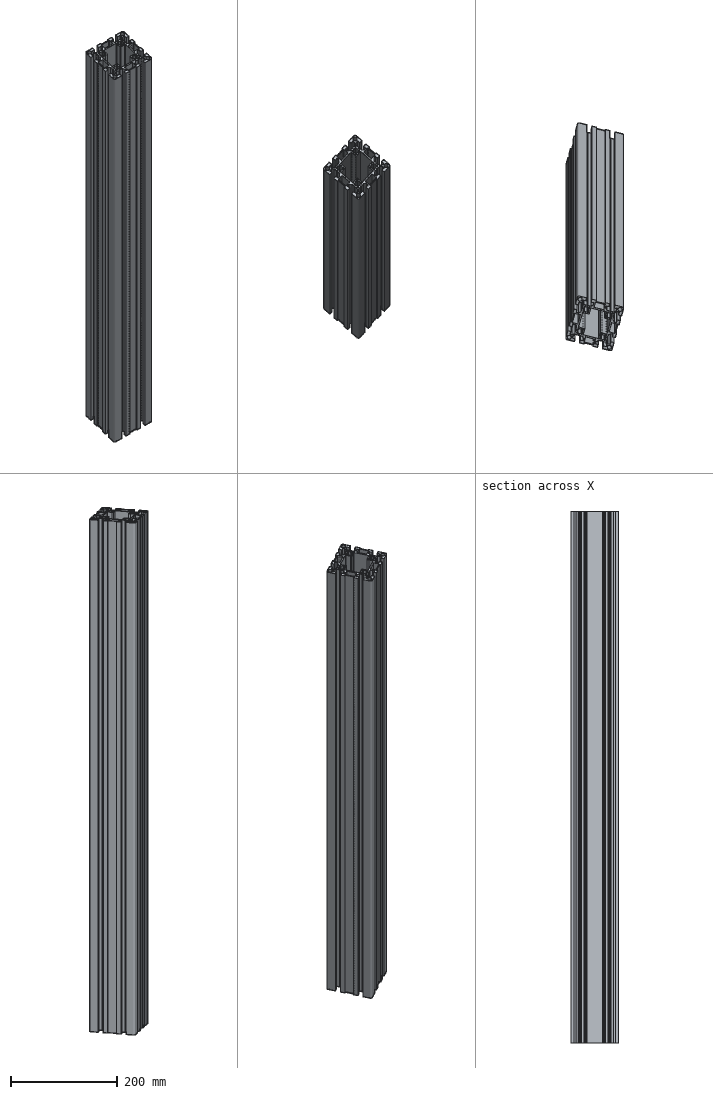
import cadquery as cq
import math

LENGTH = 1000.0
SIDE = 90.0
CORNER_RADIUS = 3.5
HALF = SIDE / 2
SLOT_OFFSET = SIDE / 4

OPENING_WIDTH = 10.0
LIP_THICKNESS = 6.0
SLOT_WIDTH = 21.0
SLOT_SHOULDER_DEPTH = 10.0
SLOT_FLOOR_WIDTH = 14.0
SLOT_DEPTH = 14.0
GROOVE_WIDTH = 2.4
GROOVE_DEPTH = 1.5

RECESS_WIDTH = 17.0
RECESS_DEPTH = 2.2

CROSS_LENGTH = 55.0
CROSS_ARM_WIDTH = 30.0

CHAMBER_WIDTH = 19.0
CHAMBER_OUTER_WALL = 1.8
CHAMBER_INNER_WALL = 3.0

CORE_RADIUS = 4.8
NOTCH_REACH = 7.0
NOTCH_WIDTH = 2.0

CORNER_HOLE_RADIUS = 3.8
CORNER_HOLE_INSET = 6.0

SIGNS = (-1, 1)


def turned(point, degrees):
    """The point turned about the profile centre."""
    x, y = point
    cosine = math.cos(math.radians(degrees))
    sine = math.sin(math.radians(degrees))
    return (x * cosine - y * sine, x * sine + y * cosine)


def four_points(offset):
    """One point in each quadrant, equally far from both axes."""
    return [(sx * offset, sy * offset) for sx in SIGNS for sy in SIGNS]


def slot_points(centre):
    """T-slot outline in the +Y side, from its +X lip to its -X lip."""
    floor = HALF - SLOT_DEPTH
    right_half = [
        (OPENING_WIDTH / 2, HALF),
        (OPENING_WIDTH / 2, HALF - LIP_THICKNESS),
        (SLOT_WIDTH / 2, HALF - LIP_THICKNESS),
        (SLOT_WIDTH / 2, HALF - SLOT_SHOULDER_DEPTH),
        (SLOT_FLOOR_WIDTH / 2, floor),
        (GROOVE_WIDTH / 2, floor),
    ]
    left_half = [(-x, y) for x, y in reversed(right_half)]
    outline = right_half + [(0, floor - GROOVE_DEPTH)] + left_half
    return [(centre + x, y) for x, y in outline]


def recess_points():
    """Recess outline in the middle of the +Y side, from +X to -X."""
    half_width = RECESS_WIDTH / 2
    bottom = HALF - RECESS_DEPTH
    return [(half_width, HALF), (half_width, bottom), (-half_width, bottom), (-half_width, HALF)]


def add_outer_outline(profile):
    """Four equal slotted sides joined by rounded corners."""
    side_points = slot_points(SLOT_OFFSET) + recess_points() + slot_points(-SLOT_OFFSET)
    straight_end = HALF - CORNER_RADIUS
    arc_middle = straight_end + CORNER_RADIUS * math.sqrt(0.5)
    profile = profile.moveTo(straight_end, HALF)
    for angle in (0, 90, 180, 270):
        for point in side_points + [(-straight_end, HALF)]:
            profile = profile.lineTo(*turned(point, angle))
        profile = profile.threePointArc(
            turned((-arc_middle, arc_middle), angle),
            turned((-HALF, straight_end), angle),
        )
    return profile.close()


def add_cross_cavity(profile):
    reach = CROSS_LENGTH / 2
    half_arm = CROSS_ARM_WIDTH / 2
    arm = [(reach, -half_arm), (reach, half_arm), (half_arm, half_arm)]
    outline = [turned(point, angle) for angle in (0, 90, 180, 270) for point in arm]
    return profile.polyline(outline).close()


def add_chambers(profile):
    half_width = CHAMBER_WIDTH / 2
    outer = HALF - RECESS_DEPTH - CHAMBER_OUTER_WALL
    inner = CROSS_LENGTH / 2 + CHAMBER_INNER_WALL
    outline = [(half_width, outer), (half_width, inner), (-half_width, inner), (-half_width, outer)]
    for angle in (0, 90, 180, 270):
        profile = profile.polyline([turned(point, angle) for point in outline]).close()
    return profile


def add_core_hole(profile, centre):
    """Round hole with a square-ended notch on each diagonal."""

    def placed(point, angle):
        x, y = turned(point, angle)
        return (centre[0] + x, centre[1] + y)

    half_notch = NOTCH_WIDTH / 2
    notch_start = math.sqrt(CORE_RADIUS**2 - half_notch**2)
    arc_middle = CORE_RADIUS * math.sqrt(0.5)
    profile = profile.moveTo(*placed((notch_start, -half_notch), 45))
    for angle in (45, 135, 225, 315):
        profile = profile.lineTo(*placed((NOTCH_REACH, -half_notch), angle))
        profile = profile.lineTo(*placed((NOTCH_REACH, half_notch), angle))
        profile = profile.lineTo(*placed((notch_start, half_notch), angle))
        profile = profile.threePointArc(
            placed((arc_middle, arc_middle), angle),
            placed((half_notch, notch_start), angle),
        )
    return profile.close()


def add_corner_holes(profile):
    for centre in four_points(HALF - CORNER_HOLE_INSET):
        profile = profile.moveTo(*centre).circle(CORNER_HOLE_RADIUS)
    return profile


profile = add_outer_outline(cq.Workplane("XY"))
profile = add_cross_cavity(profile)
profile = add_chambers(profile)
for core_centre in four_points(SLOT_OFFSET):
    profile = add_core_hole(profile, core_centre)
profile = add_corner_holes(profile)

result = profile.extrude(LENGTH)